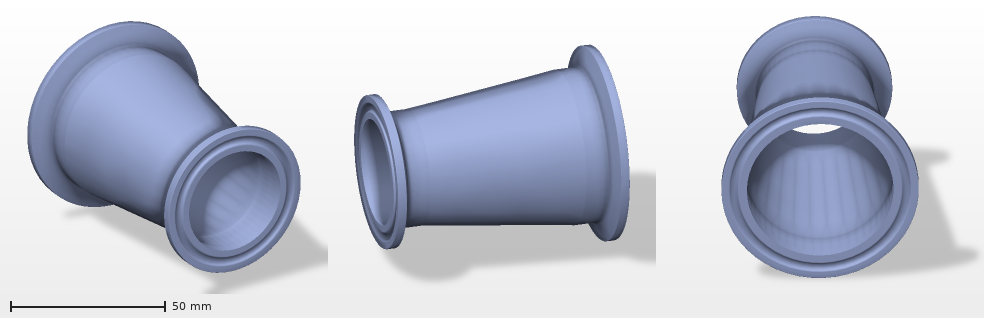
import cadquery as cq
import math

length = 76.2
end_length = 12.65
large_tube = 50.8
large_bore = 47.5
large_flange = 63.9
small_tube = 38.1
small_bore = 34.8
small_flange = 50.4

rim_width = 2.9
back_slope = 70.0
root_fillet = 1.1
rim_fillet = 0.2

groove_inset = 4.0
groove_radius = 1.3
lip_radius = 0.6
groove_wall_angle = 70.0


def turn(outline):
    """Revolve an (x, radius) outline into a full body about the X axis."""
    return outline.close().revolve(360, (0, 0, 0), (1, 0, 0))


def tapered_body(large_diameter, small_diameter):
    """Solid straight tube, cone, and straight tube over the full length."""
    large_radius = large_diameter / 2
    small_radius = small_diameter / 2
    return turn(
        cq.Workplane("XY")
        .lineTo(0, large_radius)
        .lineTo(end_length, large_radius)
        .lineTo(length - end_length, small_radius)
        .lineTo(length, small_radius)
        .lineTo(length, 0)
    )


def clamp_flange(flange_diameter, tube_diameter):
    """Solid flange with its face at x = 0 and its sloped back toward +X."""
    rim_radius = flange_diameter / 2
    tube_radius = tube_diameter / 2
    slope = math.radians(back_slope)
    root_x = rim_width + (rim_radius - tube_radius) / math.tan(slope)

    tangent_length = root_fillet * math.tan(slope / 2)
    fillet_start = (
        root_x - tangent_length * math.cos(slope),
        tube_radius + tangent_length * math.sin(slope),
    )
    fillet_end = (root_x + tangent_length, tube_radius)
    fillet_middle = (
        fillet_end[0] - root_fillet * math.sin(slope / 2),
        tube_radius + root_fillet * (1 - math.cos(slope / 2)),
    )
    flange = turn(
        cq.Workplane("XY")
        .lineTo(0, rim_radius)
        .lineTo(rim_width, rim_radius)
        .lineTo(*fillet_start)
        .threePointArc(fillet_middle, fillet_end)
        .lineTo(fillet_end[0], 0)
    )
    rim_edges = cq.selectors.RadiusNthSelector(-1)
    return flange.edges(rim_edges).fillet(rim_fillet)


def gasket_groove(flange_diameter):
    """Ring to cut from a flange face at x = 0."""
    center = flange_diameter / 2 - groove_inset
    wall = math.radians(groove_wall_angle)
    lip_drop = lip_radius * (1 - math.cos(wall))
    depth = lip_drop + groove_radius * (1 - math.cos(wall))
    bottom_half_width = groove_radius * math.sin(wall)
    half_width = bottom_half_width + lip_radius * math.sin(wall)
    lip_middle_drop = lip_radius * (1 - math.cos(wall / 2))
    lip_middle_offset = half_width - lip_radius * math.sin(wall / 2)
    inner_wall = (lip_drop, center - bottom_half_width)
    outer_wall = (lip_drop, center + bottom_half_width)
    return turn(
        cq.Workplane("XY")
        .moveTo(0, center - half_width)
        .threePointArc((lip_middle_drop, center - lip_middle_offset), inner_wall)
        .threePointArc((depth, center), outer_wall)
        .threePointArc((lip_middle_drop, center + lip_middle_offset), (0, center + half_width))
    )


def at_small_end(ferrule_part):
    """Turn a part made for the large end around to face the +X end."""
    return ferrule_part.mirror("YZ").translate((length, 0, 0))


outside = (
    tapered_body(large_tube, small_tube)
    .union(clamp_flange(large_flange, large_tube))
    .union(at_small_end(clamp_flange(small_flange, small_tube)))
)

result = (
    outside
    .cut(tapered_body(large_bore, small_bore))
    .cut(gasket_groove(large_flange))
    .cut(at_small_end(gasket_groove(small_flange)))
)